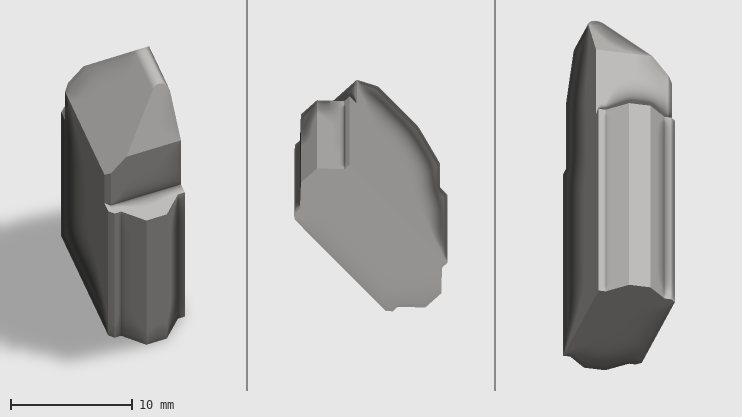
import cadquery as cq
import math

height = 27.35
depth = 6.6
rail_width = 15.0
body_width = 11.8
head_width = 10.01
base_height = 17.0
front_chamfer = 0.4

rail_root_back = 0.6
rail_crest_back = 2.2
rail_crest_front = 4.0
rail_root_front = 5.6

nose_radius = 0.8
bevel_angle = math.radians(40)
taper_angle = math.radians(35)
taper_start = 23.0


def make_base():
    """Extrude the body section with a trapezoidal rail on each side."""
    body_half = body_width / 2
    rail_half = rail_width / 2
    right_side = [
        (body_half, 0),
        (body_half, -rail_root_back),
        (rail_half, -rail_crest_back),
        (rail_half, -rail_crest_front),
        (body_half, -rail_root_front),
        (body_half, -depth + front_chamfer),
        (body_half - front_chamfer, -depth),
    ]
    left_side = [(-x, y) for x, y in reversed(right_side)]
    return cq.Workplane("XY").polyline(right_side + left_side).close().extrude(base_height)


def make_head_block():
    """Extrude the head section with its two chamfered front edges."""
    block = cq.Workplane("XY").box(head_width, depth, height, centered=(True, False, False))
    return block.translate((0, -depth, 0)).edges("|Z and <Y").chamfer(front_chamfer)


def make_bevel_profile():
    """Side profile: vertical back, round nose and bevelled front."""
    nose_y = -nose_radius
    nose_z = height - nose_radius
    tangent_y = nose_y - nose_radius * math.cos(bevel_angle)
    tangent_z = nose_z + nose_radius * math.sin(bevel_angle)
    bevel_foot_z = tangent_z - (depth + tangent_y) / math.tan(bevel_angle)
    return (
        cq.Workplane("YZ")
        .moveTo(0, 0)
        .lineTo(0, nose_z)
        .threePointArc((nose_y, height), (tangent_y, tangent_z))
        .lineTo(-depth, bevel_foot_z)
        .lineTo(-depth, 0)
        .close()
        .extrude(head_width / 2, both=True)
    )


def make_taper_profile():
    """Front profile: straight sides that taper towards the nose."""
    half = head_width / 2
    tip_half = half - (height - taper_start) * math.tan(taper_angle)
    right_side = [(half, 0), (half, taper_start), (tip_half, height)]
    left_side = [(-x, z) for x, z in reversed(right_side)]
    return cq.Workplane("XZ").polyline(right_side + left_side).close().extrude(depth)


head = make_head_block().intersect(make_bevel_profile()).intersect(make_taper_profile())
result = make_base().union(head)